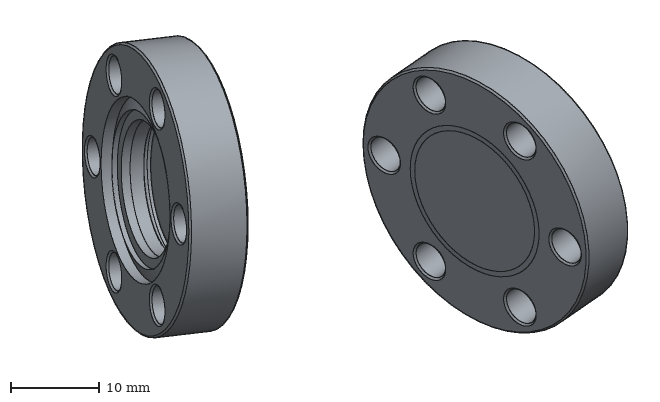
import cadquery as cq

flange_radius = 16.9
thickness = 7.23
rim_chamfer = 0.25

bolt_count = 6
bolt_circle_radius = 13.5
bolt_hole_radius = 2.2
bolt_hole_chamfer = 0.25

recess_radius = 10.75
recess_depth = 1.35
knife_radius = 9.15
knife_depth = 0.68

bore_radius = 7.95
sleeve_depth = 2.43
bore_edge_depth = 4.12
bore_edge_round = 0.65
bore_end_depth = bore_edge_depth + bore_edge_round

window_depth = 5.0
window_round = 1.0
window_radius = bore_radius + window_round
sleeve_wall = 0.68
sleeve_radius = window_radius + sleeve_wall


def revolve_about_y(profile):
    """Turn a closed (radius, depth) profile into a solid about the Y axis."""
    return profile.close().revolve(360, (0, 0, 0), (0, 1, 0))


def make_flange():
    profile = (
        cq.Workplane("XY")
        .moveTo(bore_radius, recess_depth)
        .lineTo(knife_radius, recess_depth)
        .lineTo(knife_radius, knife_depth)
        .lineTo(recess_radius, recess_depth)
        .lineTo(recess_radius, 0)
        .lineTo(flange_radius - rim_chamfer, 0)
        .lineTo(flange_radius, rim_chamfer)
        .lineTo(flange_radius, thickness - rim_chamfer)
        .lineTo(flange_radius - rim_chamfer, thickness)
        .lineTo(sleeve_radius, thickness)
        .lineTo(sleeve_radius, sleeve_depth)
        .lineTo(bore_radius, sleeve_depth)
    )
    return revolve_about_y(profile).cut(make_bolt_holes())


def make_bolt_holes():
    """Through holes with a chamfer at both ends."""
    mouth_radius = bolt_hole_radius + bolt_hole_chamfer
    hole = revolve_about_y(
        cq.Workplane("XY")
        .moveTo(0, 0)
        .lineTo(mouth_radius, 0)
        .lineTo(bolt_hole_radius, bolt_hole_chamfer)
        .lineTo(bolt_hole_radius, thickness - bolt_hole_chamfer)
        .lineTo(mouth_radius, thickness)
        .lineTo(0, thickness)
    ).translate((bolt_circle_radius, 0, 0))
    holes = cq.Workplane("XY")
    for index in range(bolt_count):
        holes = holes.add(hole.rotate((0, 0, 0), (0, 1, 0), index * 360 / bolt_count))
    return holes.combine()


def make_sleeve():
    """Ring with a rounded inner lip in front of the window seat."""
    profile = (
        cq.Workplane("XY")
        .moveTo(bore_radius, sleeve_depth)
        .lineTo(sleeve_radius, sleeve_depth)
        .lineTo(sleeve_radius, thickness)
        .lineTo(window_radius, thickness)
        .lineTo(window_radius, bore_end_depth)
        .lineTo(bore_radius + bore_edge_round, bore_end_depth)
        .radiusArc((bore_radius, bore_edge_depth), bore_edge_round)
    )
    return revolve_about_y(profile)


def make_window():
    """Disc with a rounded front edge, flush with the back of the flange."""
    profile = (
        cq.Workplane("XY")
        .moveTo(0, window_depth)
        .lineTo(bore_radius, window_depth)
        .tangentArcPoint((window_radius, window_depth + window_round), relative=False)
        .lineTo(window_radius, thickness)
        .lineTo(0, thickness)
    )
    return revolve_about_y(profile)


flange = make_flange()
sleeve = make_sleeve()
window = make_window()

result = cq.Compound.makeCompound([flange.val(), sleeve.val(), window.val()])